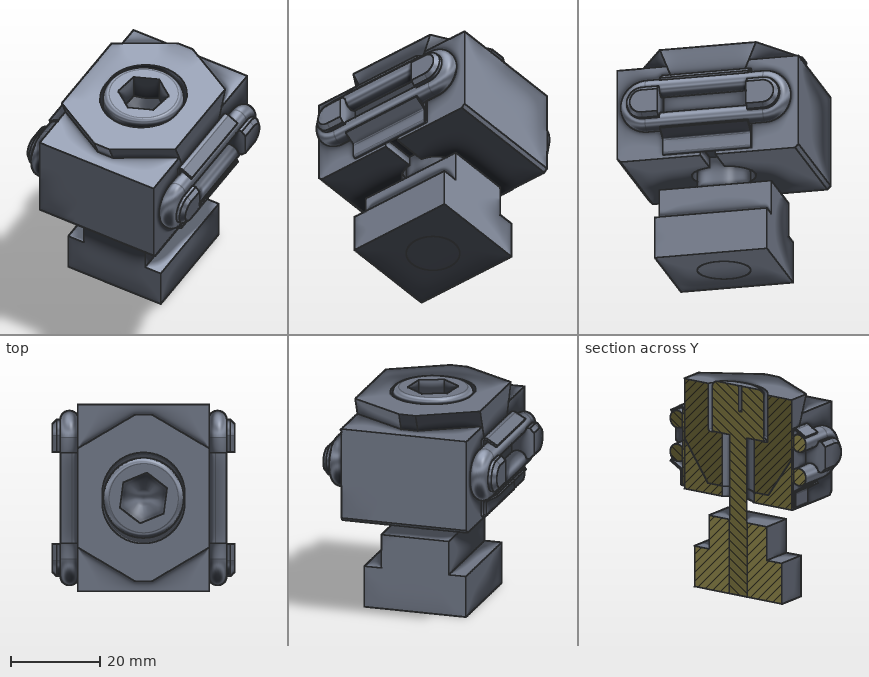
import cadquery as cq
import math

nut_width = 24.05
nut_length = 26.0
nut_base_height = 9.6
nut_height = 17.5
neck_width = 15.95

block_width = 29.55
block_length = 42.0
block_bottom = 22.45
block_top = 44.25
block_chamfer = 0.8
jaw_slot_width = 3.45

wedge_top = 48.35
wedge_corner_y = 11.15
wedge_tip_y = 18.65
wedge_tip_half_width = 1.95
wedge_taper = 0.4

screw_top = 49.25
head_radius = 9.0
head_height = 12.0
head_fillet = 1.25
head_relief = 0.2
shank_radius = 6.0
socket_flats = 9.95
socket_depth = 5.9
socket_cone_depth = 2.95
screw_turn = 22.5

screw_clearance = 0.3
screw_shift = 0.95
seat_fillet = 0.4

ring_z = 34.5
ring_tube_radius = 2.05
ring_bend_radius = 3.95
ring_half_span = 13.65
ring_offset = 1.85
boss_radius = 3.6
boss_arc_y = 14.05
boss_flat_y = 10.3
overall_width = 41.0
boss_height = (overall_width - block_width) / 2
boss_chamfer = 1.0

clip_length = 20.4
clip_sheet = 0.5
clip_gap = 0.1
clip_bend_radius = 0.65
clip_flange_angle = 30.0
clip_upper_bend_rise = 6.45
clip_upper_length = 2.8
clip_lower_bend_drop = 8.0
clip_lower_length = 3.0
clip_fold_drop = 10.9

wall_x = block_width / 2
wedge_bottom = wedge_top - (wedge_corner_y - jaw_slot_width / 2) / wedge_taper
head_bottom = screw_top - head_height


def box_between(x0, x1, y0, y1, z0, z1):
    """Box between two opposite corners."""
    return cq.Workplane("XY").box(x1 - x0, y1 - y0, z1 - z0, centered=False).translate((x0, y0, z0))


def screw_passage(radius, z0, z1, floor_fillet=0):
    """Two upright bores that let a round of the given radius shift to +Y or to -Y."""
    bore = cq.Workplane("XY", origin=(0, 0, z0)).circle(radius + screw_clearance).extrude(z1 - z0)
    if floor_fillet > 0:
        bore = bore.faces("<Z").edges().fillet(floor_fillet)
    return bore.translate((0, screw_shift, 0)).union(bore.translate((0, -screw_shift, 0)))


def make_nut():
    """T-nut with a bore right through for the screw."""
    base = cq.Workplane("XY").box(nut_width, nut_length, nut_base_height, centered=(True, True, False))
    neck = cq.Workplane("XY").box(neck_width, nut_length, nut_height, centered=(True, True, False))
    return base.union(neck).cut(cq.Workplane("XY").circle(shank_radius).extrude(nut_height))


def make_screw():
    """Socket head screw whose hexagon socket ends in a cone."""
    shank = cq.Workplane("XY").circle(shank_radius).extrude(head_bottom)
    head = cq.Workplane("XY", origin=(0, 0, head_bottom)).circle(head_radius).extrude(head_height)
    head = head.faces(">Z").edges().fillet(head_fillet)
    head = head.faces("<Z").edges().chamfer(head_relief)
    across_corners = socket_flats / math.cos(math.radians(30))
    hexagon = (
        cq.Workplane("XY", origin=(0, 0, screw_top))
        .polygon(6, across_corners)
        .extrude(-socket_depth - socket_cone_depth)
    )
    cone_start = screw_top - socket_depth
    tapered_round = (
        cq.Workplane("XZ")
        .moveTo(0, screw_top)
        .lineTo(across_corners / 2, screw_top)
        .lineTo(across_corners / 2, cone_start)
        .lineTo(0, cone_start - socket_cone_depth)
        .close()
        .revolve(360, (0, 0), (0, 1))
    )
    screw = shank.union(head).cut(hexagon.intersect(tapered_round))
    return screw.rotate((0, 0, 0), (0, 0, 1), screw_turn)


def wedge_outline(z):
    """Six-sided outline with blunt +Y and -Y tips at height z."""
    inset = (wedge_top - z) * wedge_taper
    corner_y = wedge_corner_y - inset
    tip_y = wedge_tip_y - inset
    return [
        (wall_x, -corner_y),
        (wall_x, corner_y),
        (wedge_tip_half_width, tip_y),
        (-wedge_tip_half_width, tip_y),
        (-wall_x, corner_y),
        (-wall_x, -corner_y),
        (-wedge_tip_half_width, -tip_y),
        (wedge_tip_half_width, -tip_y),
    ]


def make_wedge_blank():
    """Solid wedge that also shapes its seat; its corners end at the slot between the jaws."""
    return (
        cq.Workplane("XY", origin=(0, 0, wedge_bottom))
        .polyline(wedge_outline(wedge_bottom))
        .close()
        .workplane(offset=wedge_top - wedge_bottom)
        .polyline(wedge_outline(wedge_top))
        .close()
        .loft(ruled=True)
    )


def make_wedge():
    """Wedge with a counterbore for the screw head and a passage for the shank."""
    wedge = make_wedge_blank().cut(screw_passage(head_radius, head_bottom, wedge_top, seat_fillet))
    return wedge.cut(screw_passage(shank_radius, wedge_bottom, head_bottom))


def on_bend(center, angle):
    """Point of a clip bend in XZ, at an angle in degrees from +X."""
    turn = math.radians(angle)
    return (
        center[0] + clip_bend_radius * math.cos(turn),
        center[1] + clip_bend_radius * math.sin(turn),
    )


def make_clip():
    """Bent strip on the +X wall: upper flange, back plate, folded lower leg and lower flange."""
    back_x = wall_x + clip_sheet / 2
    leg_x = back_x + clip_sheet + clip_gap
    fold_radius = (leg_x - back_x) / 2
    fold_z = ring_z - clip_fold_drop
    slope = math.radians(clip_flange_angle)

    upper_center = (back_x + clip_bend_radius, ring_z + clip_upper_bend_rise)
    upper_end_angle = 90 - clip_flange_angle
    upper_end = on_bend(upper_center, upper_end_angle)
    upper_tip = (
        upper_end[0] + clip_upper_length * math.cos(slope),
        upper_end[1] - clip_upper_length * math.sin(slope),
    )
    lower_center = (leg_x + clip_bend_radius, ring_z - clip_lower_bend_drop)
    lower_end_angle = 90 + clip_flange_angle
    lower_end = on_bend(lower_center, lower_end_angle)
    lower_tip = (
        lower_end[0] + clip_lower_length * math.cos(slope),
        lower_end[1] + clip_lower_length * math.sin(slope),
    )

    path = (
        cq.Workplane("XZ")
        .moveTo(*lower_tip)
        .lineTo(*lower_end)
        .threePointArc(on_bend(lower_center, (180 + lower_end_angle) / 2), on_bend(lower_center, 180))
        .lineTo(leg_x, fold_z)
        .threePointArc((back_x + fold_radius, fold_z - fold_radius), (back_x, fold_z))
        .lineTo(*on_bend(upper_center, 180))
        .threePointArc(on_bend(upper_center, (180 + upper_end_angle) / 2), upper_end)
        .lineTo(*upper_tip)
    )
    start = cq.Plane(
        origin=(lower_tip[0], 0, lower_tip[1]),
        xDir=(0, 1, 0),
        normal=(-math.cos(slope), 0, -math.sin(slope)),
    )
    return cq.Workplane(start).rect(clip_length, clip_sheet).sweep(path)


def make_ring_blank():
    """Full elastic ring at the +X wall: round tube along a racetrack."""
    path = (
        cq.Workplane("YZ", origin=(wall_x + ring_offset, 0, ring_z))
        .moveTo(0, ring_bend_radius)
        .lineTo(ring_half_span, ring_bend_radius)
        .threePointArc((ring_half_span + ring_bend_radius, 0), (ring_half_span, -ring_bend_radius))
        .lineTo(-ring_half_span, -ring_bend_radius)
        .threePointArc((-ring_half_span - ring_bend_radius, 0), (-ring_half_span, ring_bend_radius))
        .close()
    )
    tube = cq.Workplane("XZ", origin=(wall_x + ring_offset, 0, ring_z + ring_bend_radius))
    return tube.circle(ring_tube_radius).sweep(path)


def make_ring():
    """Ring with its two legs flattened against the back plate of the clip."""
    inner_x = wall_x - ring_tube_radius
    half_length = clip_length / 2
    behind_plate = box_between(
        inner_x, wall_x + clip_sheet, -half_length, half_length, block_bottom, block_top
    )
    return make_ring_blank().cut(behind_plate)


def make_boss():
    """D-shaped boss of the +Y jaw on the +X wall."""
    boss = (
        cq.Workplane("YZ", origin=(wall_x, 0, ring_z))
        .moveTo(boss_flat_y, -boss_radius)
        .lineTo(boss_arc_y, -boss_radius)
        .threePointArc((boss_arc_y + boss_radius, 0), (boss_arc_y, boss_radius))
        .lineTo(boss_flat_y, boss_radius)
        .close()
        .extrude(boss_height)
    )
    return boss.faces(">X").edges("not <Y").chamfer(boss_chamfer)


def on_both_x_sides(body):
    """The +X body and its mirror image on the -X wall."""
    return [body, body.mirror("YZ")]


def make_jaw(rings):
    """The +Y jaw: half block with its bosses, wedge seat, screw clearance and ring grooves."""
    jaw = box_between(-wall_x, wall_x, jaw_slot_width / 2, block_length / 2, block_bottom, block_top)
    jaw = jaw.faces("<Z").edges(">Y").chamfer(block_chamfer)
    for boss in on_both_x_sides(make_boss()):
        jaw = jaw.union(boss)
    jaw = jaw.cut(make_wedge_blank())
    jaw = jaw.cut(screw_passage(shank_radius, block_bottom, wedge_bottom))
    for ring in rings:
        jaw = jaw.cut(ring)
    return jaw


nut = make_nut()
screw = make_screw()
wedge = make_wedge()
rings = on_both_x_sides(make_ring())
clips = on_both_x_sides(make_clip())
jaw = make_jaw(rings)
jaws = [jaw, jaw.mirror("XZ")]

result = cq.Compound.makeCompound(
    [body.val() for body in [nut, screw, wedge, *jaws, *rings, *clips]]
)